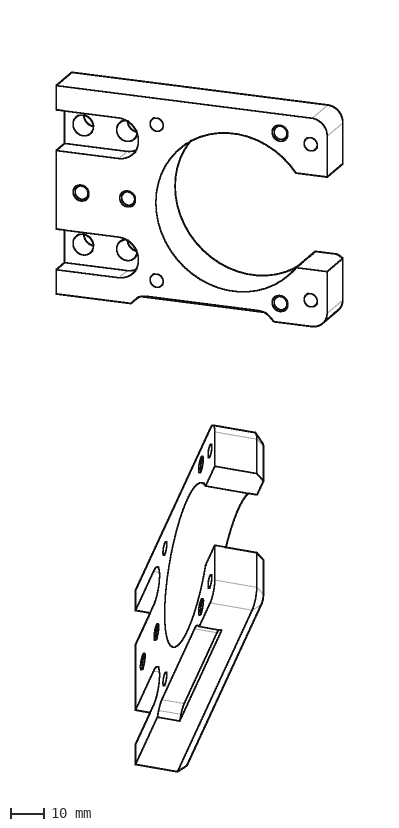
import cadquery as cq
import math

length = 87.0
thickness = 16.0
height = 66.0
corner_radius = 5.0
back_chamfer = 3.0

bore_x = 57.0
bore_diameter = 49.9
gap_width = 29.9

pocket_z = 18.9
pocket_width = 12.9
pocket_depth = 7.0
bolt_x_near = 6.0
bolt_x_far = 20.0
bolt_diameter = 6.5

pattern_offset = 24.7
plain_diameter = 4.2

centre_hole_xs = (8.0, 23.0)
outer_hole_x = 71.9
outer_hole_z = 27.0
sunk_diameter = 4.2
countersink_diameter = 5.05
countersink_angle = 90

recess_x = 47.0
recess_width = 45.9
recess_height = 3.0
recess_depth = pocket_depth
recess_corner_radius = 5.0
recess_flat_width = recess_width - 2 * recess_height


def front_plane():
    """Sketch plane on the front face, with local coordinates X and Z."""
    return cq.Workplane("XZ")


def drill(body, points, diameter):
    """Cut through holes along Y."""
    return body.cut(front_plane().pushPoints(points).circle(diameter / 2).extrude(-thickness))


def make_plate():
    plate = front_plane().rect(length, height).extrude(-thickness).translate((length / 2, 0, 0))
    plate = plate.edges("|Y and >X").fillet(corner_radius)
    return plate.faces(">Y").edges("not <X").chamfer(back_chamfer)


def cut_bore(body):
    bore = front_plane().center(bore_x, 0).circle(bore_diameter / 2).extrude(-thickness)
    gap_length = length - bore_x
    gap = (
        front_plane()
        .center(bore_x + gap_length / 2, 0)
        .rect(gap_length, gap_width)
        .extrude(-thickness)
    )
    return body.cut(bore).cut(gap)


def cut_pocket(body, z):
    half_width = pocket_width / 2
    pocket = (
        front_plane()
        .moveTo(0, z - half_width)
        .lineTo(bolt_x_far, z - half_width)
        .threePointArc((bolt_x_far + half_width, z), (bolt_x_far, z + half_width))
        .lineTo(0, z + half_width)
        .close()
        .extrude(-pocket_depth)
    )
    bolt_points = [(bolt_x_near, z), (bolt_x_far, z)]
    return drill(body.cut(pocket), bolt_points, bolt_diameter)


def cut_countersunk_holes(body):
    points = [(x, 0) for x in centre_hole_xs]
    points += [(outer_hole_x, side * outer_hole_z) for side in (-1, 1)]
    sink_depth = (countersink_diameter - sunk_diameter) / 2 / math.tan(math.radians(countersink_angle / 2))
    for x, z in points:
        cone = cq.Solid.makeCone(
            countersink_diameter / 2,
            sunk_diameter / 2,
            sink_depth,
            pnt=cq.Vector(x, 0, z),
            dir=cq.Vector(0, 1, 0),
        )
        body = body.cut(cq.Workplane(obj=cone))
    return drill(body, points, sunk_diameter)


def cut_bottom_recess(body):
    bottom = -height / 2
    recess = (
        front_plane()
        .polyline(
            [
                (recess_x - recess_width / 2, bottom),
                (recess_x - recess_flat_width / 2, bottom + recess_height),
                (recess_x + recess_flat_width / 2, bottom + recess_height),
                (recess_x + recess_width / 2, bottom),
            ]
        )
        .close()
        .extrude(-recess_depth)
    )
    recess = recess.faces(">Z").edges("|Y").fillet(recess_corner_radius)
    return body.cut(recess)


result = cut_bore(make_plate())
for side in (-1, 1):
    result = cut_pocket(result, side * pocket_z)
plain_points = [
    (bore_x + x_side * pattern_offset, z_side * pattern_offset)
    for x_side in (-1, 1)
    for z_side in (-1, 1)
]
result = drill(result, plain_points, plain_diameter)
result = cut_countersunk_holes(result)
result = cut_bottom_recess(result)